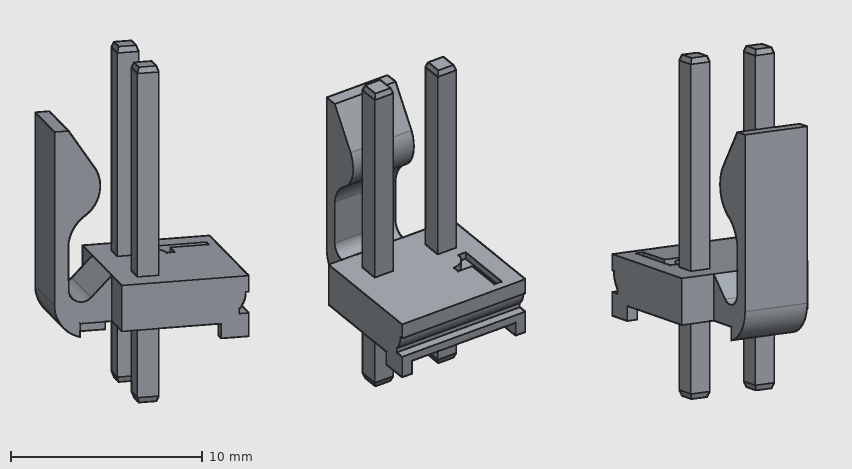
import cadquery as cq
import math

pin_length = 18.29
pin_width = 1.17
pin_pitch = 3.97
pin_tip_height = 0.31
pin_tip_inset = 0.11

body_width = 7.77
body_back = 5.1
body_front = -1.8
body_bottom = 4.39
body_top = 6.9
foot_height = 0.8
foot_width = 0.62
foot_length = 1.5
foot_bottom = body_bottom - foot_height

groove_top = 6.02
groove_bottom = 4.87
groove_arc_end = 5.12
groove_shallow = 0.16
groove_deep = 0.51
groove_radius = 1.28

mark_left = -2.73
mark_back = 4.6
mark_stem_width = 0.45
mark_stem_length = 3.38
mark_arm_length = 0.88
mark_arm_width = 0.42
mark_depth = 0.4

latch_width = 3.85
latch_front = -4.9
latch_top = 14.95
latch_thickness = 0.77
latch_back = latch_front + latch_thickness
bend_radius = 1.9
bowl_radius = 0.71
nose_start = (-2.65, 12.73)
nose_tip = (-2.41, 11.82)
nose_end = (-3.18, 10.3)
neck_middle = (-3.85, 9.64)
neck_end_z = 8.83
rib_width = 1.3
rib_front = -3.51


def box(x_range, y_range, z_range):
    """Box spanning the given (low, high) ranges."""
    size = [high - low for low, high in (x_range, y_range, z_range)]
    return cq.Workplane("XY").box(*size, centered=False).translate((x_range[0], y_range[0], z_range[0]))


def extrude_across(profile, width):
    """Extrude a closed YZ profile symmetrically about x = 0."""
    return profile.close().extrude(width / 2, both=True)


def make_pin(x):
    """Square pin with a tapered tip at each end."""
    tip_width = pin_width - 2 * pin_tip_inset
    shank_length = pin_length - 2 * pin_tip_height
    shank = cq.Workplane("XY").workplane(offset=pin_tip_height).rect(pin_width, pin_width).extrude(shank_length)
    tail = (
        cq.Workplane("XY").rect(tip_width, tip_width)
        .workplane(offset=pin_tip_height).rect(pin_width, pin_width).loft(ruled=True)
    )
    head = tail.mirror("XY").translate((0, 0, pin_length))
    return shank.union(tail).union(head).translate((x, 0, 0))


def make_body():
    """Housing block with two rear feet and the rear groove."""
    half = body_width / 2
    body = box((-half, half), (body_front, body_back), (body_bottom, body_top))
    for left in (-half, half - foot_width):
        body = body.union(
            box((left, left + foot_width), (body_back - foot_length, body_back), (foot_bottom, body_bottom))
        )
    groove = (
        cq.Workplane("YZ")
        .moveTo(body_back, groove_top)
        .lineTo(body_back - groove_shallow, groove_top)
        .radiusArc((body_back - groove_deep, groove_arc_end), groove_radius)
        .lineTo(body_back - groove_deep, groove_bottom)
        .lineTo(body_back, groove_bottom)
    )
    return body.cut(extrude_across(groove, body_width))


def make_mark():
    """Flag-shaped recess: a straight stem with a short arm and a concave corner."""
    stem_right = mark_left + mark_stem_width
    arm_right = stem_right + mark_arm_length
    stem_front = mark_back - mark_stem_length
    arm_front = stem_front + mark_arm_length
    arc_offset = mark_arm_length * math.sqrt(0.5)
    return (
        cq.Workplane("XY").workplane(offset=body_top)
        .moveTo(mark_left, mark_back)
        .lineTo(stem_right, mark_back)
        .lineTo(stem_right, arm_front + mark_arm_width)
        .lineTo(arm_right, arm_front + mark_arm_width)
        .lineTo(arm_right, arm_front)
        .threePointArc((arm_right - arc_offset, stem_front + arc_offset), (stem_right, stem_front))
        .lineTo(mark_left, stem_front)
        .close()
        .extrude(-mark_depth)
    )


def make_latch():
    """Curved latch arm, undercut on both sides of a central rib."""
    diagonal = bowl_radius * math.sqrt(0.5)
    bowl_y = latch_back + bowl_radius
    bowl_z = body_top - body_front + bowl_y + bowl_radius * math.sqrt(2)
    bend_offset = bend_radius * (1 - math.sqrt(0.5))
    profile = (
        cq.Workplane("YZ")
        .moveTo(body_front, foot_bottom)
        .lineTo(body_front, body_top)
        .lineTo(bowl_y + diagonal, bowl_z - diagonal)
        .threePointArc((bowl_y, bowl_z - bowl_radius), (latch_back, bowl_z))
        .lineTo(latch_back, neck_end_z)
        .threePointArc(neck_middle, nose_end)
        .threePointArc(nose_tip, nose_start)
        .lineTo(latch_back, latch_top)
        .lineTo(latch_front, latch_top)
        .lineTo(latch_front, foot_bottom + bend_radius)
        .threePointArc(
            (latch_front + bend_offset, foot_bottom + bend_offset),
            (latch_front + bend_radius, foot_bottom),
        )
    )
    latch = extrude_across(profile, latch_width)
    undercut_width = (latch_width - rib_width) / 2
    for left in (-latch_width / 2, rib_width / 2):
        latch = latch.cut(
            box((left, left + undercut_width), (rib_front, body_front), (foot_bottom, body_bottom))
        )
    return latch


result = make_body().cut(make_mark()).union(make_latch())
for pin_x in (-pin_pitch / 2, pin_pitch / 2):
    result = result.union(make_pin(pin_x))